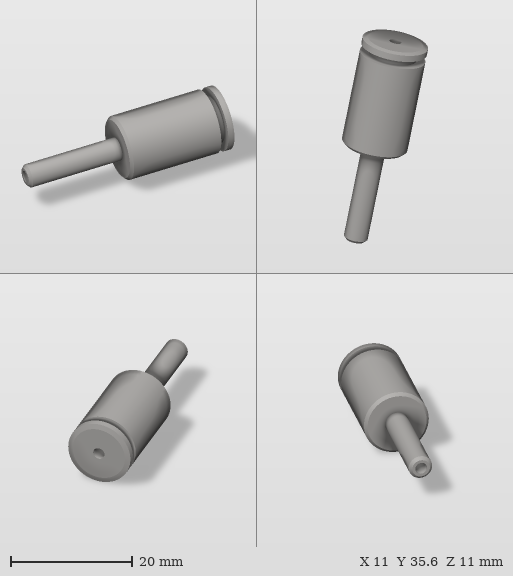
import cadquery as cq

total_length = 35.6
stem_length = 16.7
body_length = 16.3
neck_length = 1.28

body_diameter = 11.0
neck_diameter = 8.0
stem_diameter = 4.0
bore_diameter = 2.0

body_chamfer = 0.5
stem_chamfer = 0.5
cap_chamfer_length = 0.2
cap_chamfer_depth = 0.9

body_start = stem_length
body_end = body_start + body_length
cap_start = body_end + neck_length

body_radius = body_diameter / 2
neck_radius = neck_diameter / 2
stem_radius = stem_diameter / 2
bore_radius = bore_diameter / 2

half_section = [
    (bore_radius, 0),
    (stem_radius - stem_chamfer, 0),
    (stem_radius, stem_chamfer),
    (stem_radius, body_start),
    (body_radius - body_chamfer, body_start),
    (body_radius, body_start + body_chamfer),
    (body_radius, body_end),
    (neck_radius, body_end),
    (neck_radius, cap_start),
    (body_radius, cap_start),
    (body_radius, total_length - cap_chamfer_length),
    (body_radius - cap_chamfer_depth, total_length),
    (bore_radius, total_length),
]

result = (
    cq.Workplane("XY")
    .polyline(half_section)
    .close()
    .revolve(360, (0, 0, 0), (0, 1, 0))
)